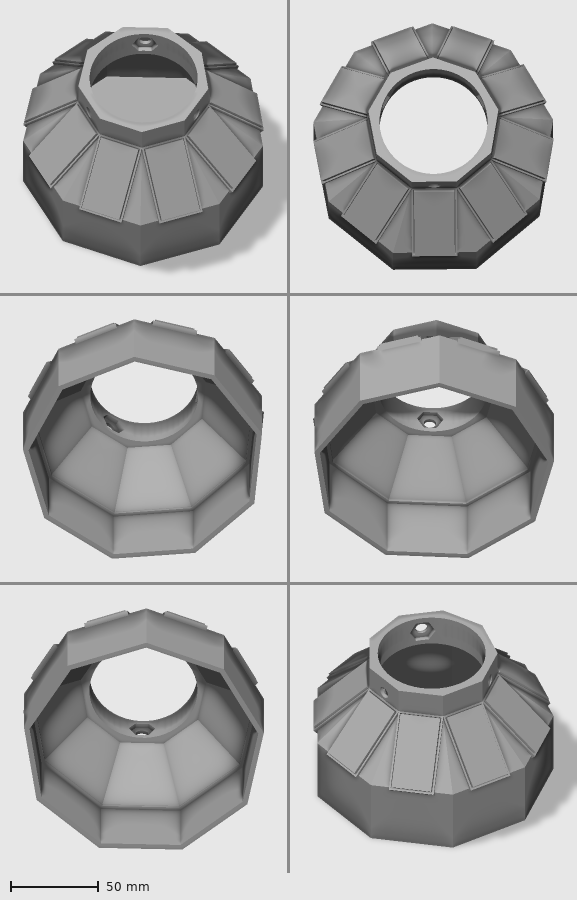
import cadquery as cq
import math

SIDES = 9
STEP_ANGLE = 360 / SIDES
FIRST_FACE_ANGLE = -90
CORNER_FACTOR = 1 / math.cos(math.radians(STEP_ANGLE / 2))

SKIRT_HEIGHT = 40.0
TOTAL_HEIGHT = 87.3
NECK_HEIGHT = 17.5
CONE_TOP = TOTAL_HEIGHT - NECK_HEIGHT
CONE_HEIGHT = CONE_TOP - SKIRT_HEIGHT

SKIRT_APOTHEM = 65.095
NECK_APOTHEM = SKIRT_APOTHEM - CONE_HEIGHT
SLOPE_ANGLE = 45

BORE_DIAMETER = 61.46
SKIRT_WALL = 3.0
LEDGE_WIDTH = 2.0
SKIRT_CAVITY_APOTHEM = SKIRT_APOTHEM - SKIRT_WALL
CAVITY_APOTHEM = SKIRT_CAVITY_APOTHEM - LEDGE_WIDTH
COLLAR_HEIGHT = 1.8
CEILING_THICKNESS = 2.0
CAVITY_ROOF_START = SKIRT_HEIGHT + COLLAR_HEIGHT
CAVITY_TOP = CONE_TOP - CEILING_THICKNESS
CAVITY_TOP_APOTHEM = CAVITY_APOTHEM - (CAVITY_TOP - CAVITY_ROOF_START)

PAD_WIDTH = 25.92
PAD_RISE = 1.5
PAD_OVERHANG = 1.5
PAD_THICKNESS = 2 * PAD_RISE
PAD_LENGTH = CONE_HEIGHT / math.sin(math.radians(SLOPE_ANGLE)) + 2 * PAD_OVERHANG
RIM_WIDTH = 1.0
PANEL_GAP = 0.5
PANEL_RISE = 1.15
PANEL_THICKNESS = PAD_RISE + PANEL_RISE

HOLE_COUNT = 3
HOLE_FACE_ANGLE = FIRST_FACE_ANGLE - STEP_ANGLE
HOLE_DIAMETER = 7.0
HOLE_DEPTH_BELOW_TOP = 10.0
HOLE_Z = TOTAL_HEIGHT - HOLE_DEPTH_BELOW_TOP
HOLE_WALL = 2.0
NUT_ACROSS_FLATS = 13.0
NUT_SIDES = 6
NUT_ACROSS_CORNERS = NUT_ACROSS_FLATS / math.cos(math.pi / NUT_SIDES)


def nonagon_wire(apothem, z):
    """Closed nonagon at height z whose flats lie at the given distance from the axis."""
    radius = apothem * CORNER_FACTOR
    first_corner = FIRST_FACE_ANGLE + STEP_ANGLE / 2
    corners = []
    for i in range(SIDES):
        angle = math.radians(first_corner + i * STEP_ANGLE)
        corners.append(cq.Vector(radius * math.cos(angle), radius * math.sin(angle), z))
    return cq.Wire.makePolygon(corners, close=True)


def nonagon_loft(bottom_apothem, bottom_z, top_apothem, top_z):
    """Prism or pyramid frustum between two nonagons."""
    wires = [nonagon_wire(bottom_apothem, bottom_z), nonagon_wire(top_apothem, top_z)]
    return cq.Workplane(obj=cq.Solid.makeLoft(wires, True))


def face_angles():
    return [FIRST_FACE_ANGLE + i * STEP_ANGLE for i in range(SIDES)]


def cone_face_slab(width, length, bottom, top, angle):
    """Slab centred on one cone face, between two distances measured out from that face."""
    direction = math.radians(angle)
    middle_radius = (SKIRT_APOTHEM + NECK_APOTHEM) / 2
    middle_z = (SKIRT_HEIGHT + CONE_TOP) / 2
    tilt = math.radians(SLOPE_ANGLE)
    plane = cq.Plane(
        origin=(middle_radius * math.cos(direction), middle_radius * math.sin(direction), middle_z),
        xDir=(-math.sin(direction), math.cos(direction), 0),
        normal=(
            math.sin(tilt) * math.cos(direction),
            math.sin(tilt) * math.sin(direction),
            math.cos(tilt),
        ),
    )
    return cq.Workplane(plane).workplane(offset=bottom).rect(width, length).extrude(top - bottom)


def make_pad(angle):
    return cone_face_slab(PAD_WIDTH, PAD_LENGTH, PAD_RISE - PAD_THICKNESS, PAD_RISE, angle)


def make_panel_pocket(angle):
    """Pocket through the pad's rise, leaving a rim all round."""
    width = PAD_WIDTH - 2 * RIM_WIDTH
    length = PAD_LENGTH - 2 * RIM_WIDTH
    return cone_face_slab(width, length, 0, PANEL_THICKNESS, angle)


def make_panel(angle):
    """Loose panel that lies on the pocket floor and stands proud of the rim."""
    inset = RIM_WIDTH + PANEL_GAP
    return cone_face_slab(PAD_WIDTH - 2 * inset, PAD_LENGTH - 2 * inset, 0, PANEL_THICKNESS, angle)


def make_fastener_cut(angle):
    """Radial hole through a neck face with a hexagonal nut recess from the bore."""
    direction = math.radians(angle)
    plane = cq.Plane(
        origin=(0, 0, HOLE_Z),
        xDir=(-math.sin(direction), math.cos(direction), 0),
        normal=(math.cos(direction), math.sin(direction), 0),
    )
    hole = cq.Workplane(plane).circle(HOLE_DIAMETER / 2).extrude(NECK_APOTHEM)
    nut_recess = cq.Workplane(plane).polygon(NUT_SIDES, NUT_ACROSS_CORNERS).extrude(NECK_APOTHEM - HOLE_WALL)
    return hole.union(nut_recess)


def make_housing():
    skirt = nonagon_loft(SKIRT_APOTHEM, 0, SKIRT_APOTHEM, SKIRT_HEIGHT)
    cone = nonagon_loft(SKIRT_APOTHEM, SKIRT_HEIGHT, NECK_APOTHEM, CONE_TOP)
    neck = nonagon_loft(NECK_APOTHEM, CONE_TOP, NECK_APOTHEM, TOTAL_HEIGHT)
    body = skirt.union(cone).union(neck)
    for angle in face_angles():
        body = body.union(make_pad(angle))
    for angle in face_angles():
        body = body.cut(make_panel_pocket(angle))

    body = body.cut(nonagon_loft(SKIRT_CAVITY_APOTHEM, 0, SKIRT_CAVITY_APOTHEM, SKIRT_HEIGHT))
    body = body.cut(nonagon_loft(CAVITY_APOTHEM, SKIRT_HEIGHT, CAVITY_APOTHEM, CAVITY_ROOF_START))
    body = body.cut(nonagon_loft(CAVITY_APOTHEM, CAVITY_ROOF_START, CAVITY_TOP_APOTHEM, CAVITY_TOP))
    body = body.cut(cq.Workplane().circle(BORE_DIAMETER / 2).extrude(TOTAL_HEIGHT))
    for i in range(HOLE_COUNT):
        body = body.cut(make_fastener_cut(HOLE_FACE_ANGLE + i * 360 / HOLE_COUNT))
    return body


housing = make_housing()
panels = [make_panel(angle) for angle in face_angles()]

result = cq.Compound.makeCompound([housing.val(), *[panel.val() for panel in panels]])